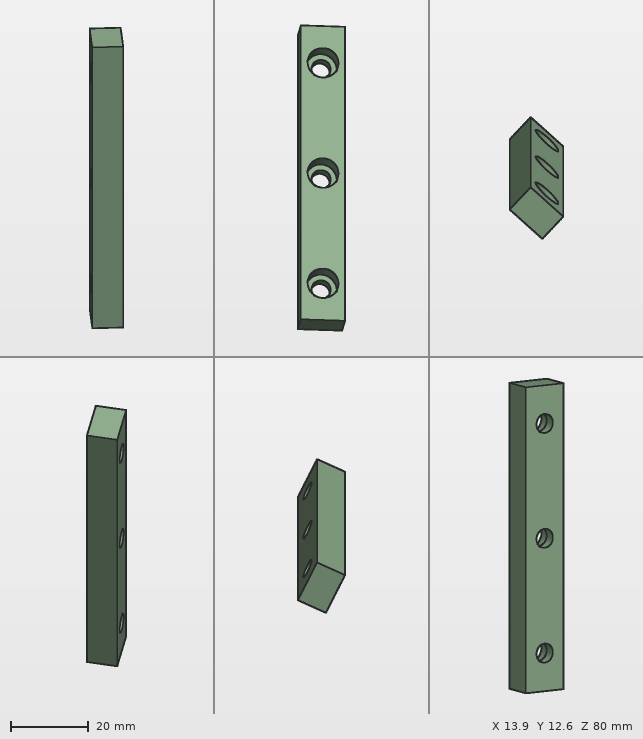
import cadquery as cq

length = 80.0
width = 11.4
thickness = 8.0
turn_angle = -30.0

hole_diameter = 5.0
hole_spacing = 30.0
hole_count = 3
counterbore_diameter = 8.0
counterbore_depth = 5.0

bar = (
    cq.Workplane("XY")
    .box(width, thickness, length)
    .faces(">Y")
    .workplane()
    .rarray(width, hole_spacing, 1, hole_count)
    .cboreHole(hole_diameter, counterbore_diameter, counterbore_depth)
)

result = bar.rotate((0, 0, 0), (0, 0, 1), turn_angle)